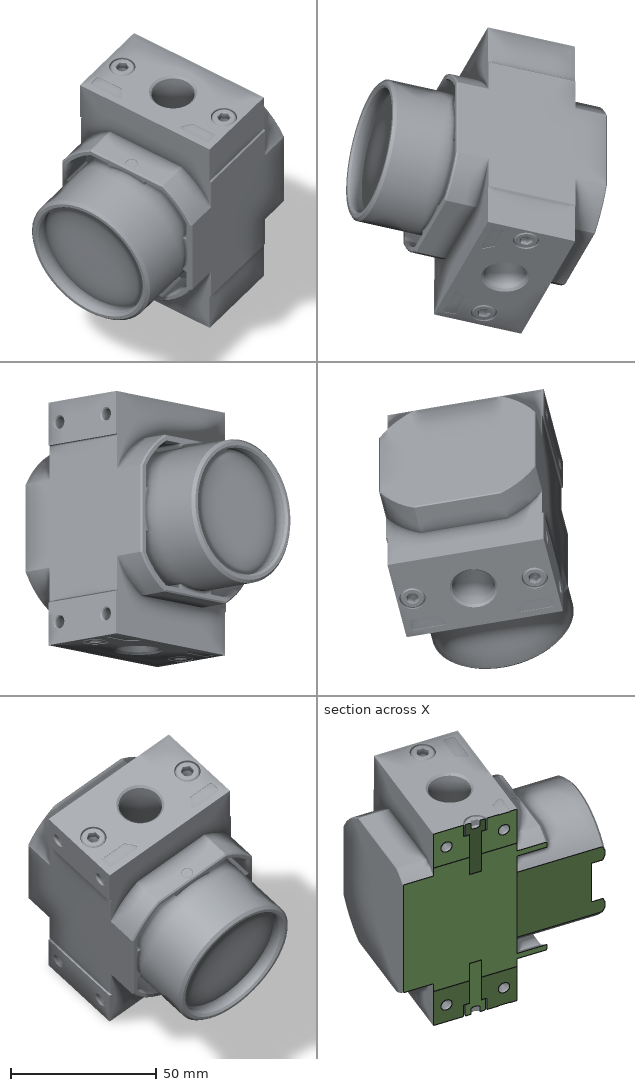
import cadquery as cq
import math

HOUSING_SIDE = 55.0
PLATE_WIDTH = HOUSING_SIDE
PLATE_OFFSET_X = -0.5
TOTAL_HEIGHT = 85.0
TOTAL_DEPTH = 77.0

HALF = HOUSING_SIDE / 2
BLOCK_DEPTH = 32.0
BLOCK_CHAMFER = 0.5
ROUND_RADIUS = 31.45
FRONT_CHAMFER = 0.5
BACK_CHAMFER = 0.3

POCKET_DEPTH = (HOUSING_SIDE - BLOCK_DEPTH) / 2
POCKET_HALF = 25.4
POCKET_ROUND_RADIUS = 29.6
WEB_WIDTH = 15.1
WEB_FILLET = 0.6

GAUGE_DIAMETER = 50.0
GAUGE_CHAMFER = 1.0
DIAL_DIAMETER = 44.0
DIAL_DEPTH = 5.0
DIAL_CHAMFER = 0.8

PORT_DIAMETER = 15.0
PORT_CHAMFER = 0.8

SCREW_SPACING = 43.0
SCREW_DIAMETER = 5.0
SCREW_ENGAGEMENT = 7.65
HEAD_DIAMETER = 8.5
HEAD_HEIGHT = 5.0
HEAD_CHAMFER = 0.5
COUNTERBORE_DIAMETER = 9.0
COUNTERBORE_DEPTH = HEAD_HEIGHT
SOCKET_ACROSS_FLATS = 4.0
HEXAGON_TURN = 30.0
SOCKET_DEPTH = 2.55
SOCKET_MOUTH_DEPTH = 0.2

SIDE_HOLE_DIAMETER = 4.2
SIDE_HOLE_MOUTH = 5.0
SIDE_HOLE_DEPTH = 8.5
SIDE_HOLE_SPACING = 21.9
DRILL_TIP_ANGLE = 118.0

LABEL_OUTER_X = 25.0
LABEL_INNER_XS = {-1: 12.3, 1: 13.0}
LABEL_SLOPE_LENGTH = 2.4
LABEL_BACK_Y = -9.0
LABEL_SLOPE_Y = -12.2
LABEL_FRONT_Y = -13.4
LABEL_FILLET = 0.8
LABEL_DEPTH = 0.2

PLUG_DIAMETER = 4.2
PLUG_CHAMFER = 0.2
PLUG_DEPTH = 1.7
PLUG_Y = -24.5

PLATE_HEIGHT = (TOTAL_HEIGHT - HOUSING_SIDE) / 2
GAUGE_FRONT_Y = HALF - TOTAL_DEPTH
POCKET_FLOOR_Y = POCKET_DEPTH - HALF
SCREW_XS = (-SCREW_SPACING / 2, SCREW_SPACING / 2)
HEAD_SEAT_Z = TOTAL_HEIGHT / 2 - COUNTERBORE_DEPTH


def cylinder(diameter, length, base, direction):
    return cq.Workplane(cq.Solid.makeCylinder(diameter / 2, length, cq.Vector(*base), cq.Vector(*direction)))


def cone(base_diameter, tip_diameter, length, base, direction):
    return cq.Workplane(
        cq.Solid.makeCone(base_diameter / 2, tip_diameter / 2, length, cq.Vector(*base), cq.Vector(*direction))
    )


def tip_height(diameter):
    return diameter / 2 / math.tan(math.radians(DRILL_TIP_ANGLE / 2))


def rounded_square(half_side, corner_radius, start_y, depth):
    """A square bar along +Y whose corners are cut by one circle around the Y axis."""
    square = cq.Workplane().box(2 * half_side, depth, 2 * half_side).translate((0, start_y + depth / 2, 0))
    return square.intersect(cylinder(2 * corner_radius, depth, (0, start_y, 0), (0, 1, 0)))


def mirror_down(body):
    return body.mirror("XY")


def make_pockets():
    """Four corner pockets, mirrored from the one at +X and +Z."""
    ring = rounded_square(POCKET_HALF, POCKET_ROUND_RADIUS, -HALF, POCKET_DEPTH)
    web_half = WEB_WIDTH / 2
    quadrant = cq.Workplane().box(HALF, HOUSING_SIDE, HALF, centered=(False, True, False))
    pocket = ring.intersect(quadrant.translate((web_half, 0, web_half)))
    middle_y = POCKET_FLOOR_Y - POCKET_DEPTH / 2
    for x, z in ((web_half, POCKET_HALF), (POCKET_HALF, web_half)):
        pocket = pocket.edges(cq.NearestToPointSelector((x, middle_y, z))).fillet(WEB_FILLET)
    upper_pair = pocket.union(pocket.mirror("YZ"))
    return upper_pair.union(mirror_down(upper_pair))


def make_housing():
    body = rounded_square(HALF, ROUND_RADIUS, -HALF, HOUSING_SIDE)
    body = body.faces("<Y").chamfer(FRONT_CHAMFER).faces(">Y").chamfer(BACK_CHAMFER)
    block = cq.Workplane().box(HOUSING_SIDE, BLOCK_DEPTH, HOUSING_SIDE).edges("|Y").chamfer(BLOCK_CHAMFER)
    body = body.union(block)
    body = body.cut(make_pockets())
    body = body.cut(cylinder(GAUGE_DIAMETER, POCKET_DEPTH, (0, -HALF, 0), (0, 1, 0)))
    body = body.cut(cylinder(PORT_DIAMETER, HOUSING_SIDE, (0, 0, -HALF), (0, 0, 1)))
    for x in SCREW_XS:
        hole = cylinder(SCREW_DIAMETER, SCREW_ENGAGEMENT, (x, 0, HALF), (0, 0, -1))
        body = body.cut(hole).cut(mirror_down(hole))
    return body.cut(cylinder(PLUG_DIAMETER, PLUG_DEPTH, (0, PLUG_Y, HALF), (0, 0, -1)))


def make_gauge():
    length = POCKET_FLOOR_Y - GAUGE_FRONT_Y
    gauge = cylinder(GAUGE_DIAMETER, length, (0, POCKET_FLOOR_Y, 0), (0, -1, 0))
    gauge = gauge.faces("<Y").chamfer(GAUGE_CHAMFER)
    front = (0, GAUGE_FRONT_Y, 0)
    gauge = gauge.cut(cylinder(DIAL_DIAMETER, DIAL_DEPTH, front, (0, 1, 0)))
    mouth = cone(DIAL_DIAMETER + 2 * DIAL_CHAMFER, DIAL_DIAMETER, DIAL_CHAMFER, front, (0, 1, 0))
    return gauge.cut(mouth)


def make_label(side):
    """Five-sided recess in the top face; side is -1 for the -X one and 1 for the +X one."""
    inner_x = LABEL_INNER_XS[side]
    points = [
        (LABEL_OUTER_X, LABEL_BACK_Y),
        (inner_x + LABEL_SLOPE_LENGTH, LABEL_BACK_Y),
        (inner_x, LABEL_SLOPE_Y),
        (inner_x, LABEL_FRONT_Y),
        (LABEL_OUTER_X, LABEL_FRONT_Y),
    ]
    outline = [(PLATE_OFFSET_X + side * x, y) for x, y in points]
    label = cq.Workplane(origin=(0, 0, TOTAL_HEIGHT / 2 - LABEL_DEPTH)).polyline(outline).close()
    return label.extrude(LABEL_DEPTH).edges("|Z").fillet(LABEL_FILLET)


def make_side_hole(y):
    wall_x = PLATE_OFFSET_X - PLATE_WIDTH / 2
    z = HALF + PLATE_HEIGHT / 2
    mouth_depth = (SIDE_HOLE_MOUTH - SIDE_HOLE_DIAMETER) / 2
    bore = cylinder(SIDE_HOLE_DIAMETER, SIDE_HOLE_DEPTH, (wall_x, y, z), (1, 0, 0))
    tip_base = (wall_x + SIDE_HOLE_DEPTH, y, z)
    tip = cone(SIDE_HOLE_DIAMETER, 0, tip_height(SIDE_HOLE_DIAMETER), tip_base, (1, 0, 0))
    mouth = cone(SIDE_HOLE_MOUTH, SIDE_HOLE_DIAMETER, mouth_depth, (wall_x, y, z), (1, 0, 0))
    return bore.union(tip).union(mouth)


def make_plate():
    """The upper plate."""
    top = TOTAL_HEIGHT / 2
    plate = cq.Workplane().box(PLATE_WIDTH, BLOCK_DEPTH, PLATE_HEIGHT)
    plate = plate.translate((PLATE_OFFSET_X, 0, HALF + PLATE_HEIGHT / 2))
    plate = plate.cut(cylinder(PORT_DIAMETER, PLATE_HEIGHT, (0, 0, HALF), (0, 0, 1)))
    port_mouth = cone(PORT_DIAMETER + 2 * PORT_CHAMFER, PORT_DIAMETER, PORT_CHAMFER, (0, 0, top), (0, 0, -1))
    plate = plate.cut(port_mouth)
    for x in SCREW_XS:
        plate = plate.cut(cylinder(SCREW_DIAMETER, PLATE_HEIGHT, (x, 0, HALF), (0, 0, 1)))
        plate = plate.cut(cylinder(COUNTERBORE_DIAMETER, COUNTERBORE_DEPTH, (x, 0, top), (0, 0, -1)))
    for side in (-1, 1):
        plate = plate.cut(make_label(side))
        plate = plate.cut(make_side_hole(side * SIDE_HOLE_SPACING / 2))
    return plate


def make_screw(x):
    """A socket head screw of the upper plate."""
    head_top = HEAD_SEAT_Z + HEAD_HEIGHT
    head = cylinder(HEAD_DIAMETER, HEAD_HEIGHT, (x, 0, HEAD_SEAT_Z), (0, 0, 1))
    head = head.faces(">Z").chamfer(HEAD_CHAMFER)
    shank_end = HALF - SCREW_ENGAGEMENT
    screw = head.union(cylinder(SCREW_DIAMETER, HEAD_SEAT_Z - shank_end, (x, 0, shank_end), (0, 0, 1)))
    socket_floor = head_top - SOCKET_DEPTH
    corner_diameter = SOCKET_ACROSS_FLATS / math.cos(math.radians(HEXAGON_TURN))
    socket = cq.Workplane().polygon(6, corner_diameter).extrude(SOCKET_DEPTH)
    socket = socket.rotate((0, 0, 0), (0, 0, 1), HEXAGON_TURN).translate((x, 0, socket_floor))
    mouth = cone(corner_diameter, SOCKET_ACROSS_FLATS, SOCKET_MOUTH_DEPTH, (x, 0, head_top), (0, 0, -1))
    tip = cone(SOCKET_ACROSS_FLATS, 0, tip_height(SOCKET_ACROSS_FLATS), (x, 0, socket_floor), (0, 0, -1))
    return screw.cut(socket).cut(mouth).cut(tip)


def make_plug():
    plug = cylinder(PLUG_DIAMETER, PLUG_DEPTH, (0, PLUG_Y, HALF), (0, 0, -1))
    return plug.faces(">Z").chamfer(PLUG_CHAMFER)


housing = make_housing()
gauge = make_gauge()
plug = make_plug()
upper_plate = make_plate()
plates = [upper_plate, mirror_down(upper_plate)]
screws = []
for screw_x in SCREW_XS:
    upper_screw = make_screw(screw_x)
    screws += [upper_screw, mirror_down(upper_screw)]

bodies = [housing, gauge, plug, *plates, *screws]
result = cq.Compound.makeCompound([body.val() for body in bodies])